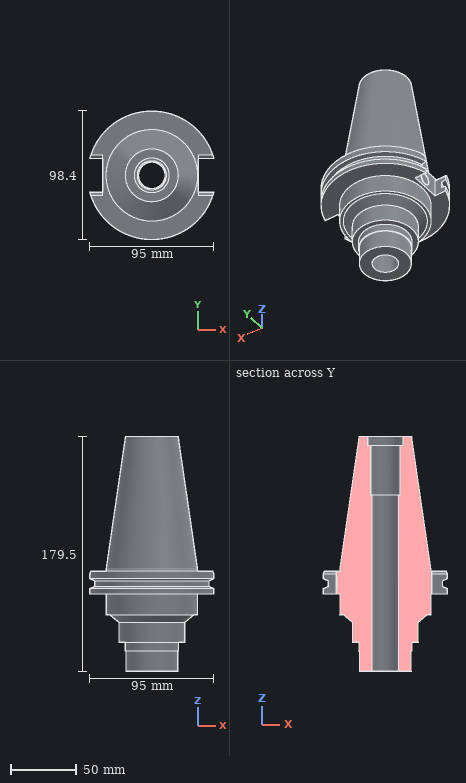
import cadquery as cq

LENGTH = 179.5
FLANGE_RADIUS = 49.2
FLANGE_BOTTOM = 58.9
FLANGE_TOP = 76.5

TAPER_RATE = 7 / 24
TAPER_LARGE_RADIUS = 35.0
TAPER_START = 78.0
TAPER_SMALL_RADIUS = TAPER_LARGE_RADIUS - TAPER_RATE * (LENGTH - TAPER_START) / 2

TIP_RADIUS = 20.0
TIP_TOP = 15.6
COLLAR_RADIUS = 20.5
COLLAR_TOP = 22.0
NECK_RADIUS = 25.3
NECK_TOP = 37.3
NOSE_CONE_RADIUS = 32.1
NOSE_CONE_TOP = 43.0

GROOVE_RADIUS = 45.6
GROOVE_CENTER = 67.0
GROOVE_FLOOR_WIDTH = 4.3
GROOVE_MOUTH_WIDTH = 7.5

SLOT_WIDTH = 25.7
SLOT_FLOOR_LEFT = 37.5
SLOT_FLOOR_RIGHT = 35.5
SLOT_CHAMFER_WIDTH = 2.7
SLOT_CHAMFER_HEIGHT = 2.2
SLOT_RECESS_RADIUS = 4.8
SLOT_RECESS_DEPTH = 0.4

THROUGH_BORE_RADIUS = 10.0
THREAD_BORE_RADIUS = 11.1
THREAD_BORE_DEPTH = 44.9
ENTRY_BORE_RADIUS = 13.3
ENTRY_BORE_DEPTH = 6.8


def cylinder_down(radius, top, height):
    return cq.Workplane("XY").workplane(offset=top).circle(radius).extrude(-height)


def turned_body():
    half_floor = GROOVE_FLOOR_WIDTH / 2
    half_mouth = GROOVE_MOUTH_WIDTH / 2
    profile = [
        (0, 0),
        (TIP_RADIUS, 0),
        (TIP_RADIUS, TIP_TOP),
        (COLLAR_RADIUS, TIP_TOP),
        (COLLAR_RADIUS, COLLAR_TOP),
        (NECK_RADIUS, COLLAR_TOP),
        (NECK_RADIUS, NECK_TOP),
        (NOSE_CONE_RADIUS, NOSE_CONE_TOP),
        (TAPER_LARGE_RADIUS, NOSE_CONE_TOP),
        (TAPER_LARGE_RADIUS, FLANGE_BOTTOM),
        (FLANGE_RADIUS, FLANGE_BOTTOM),
        (FLANGE_RADIUS, GROOVE_CENTER - half_mouth),
        (GROOVE_RADIUS, GROOVE_CENTER - half_floor),
        (GROOVE_RADIUS, GROOVE_CENTER + half_floor),
        (FLANGE_RADIUS, GROOVE_CENTER + half_mouth),
        (FLANGE_RADIUS, FLANGE_TOP),
        (TAPER_LARGE_RADIUS, FLANGE_TOP),
        (TAPER_LARGE_RADIUS, TAPER_START),
        (TAPER_SMALL_RADIUS, LENGTH),
        (0, LENGTH),
    ]
    return cq.Workplane("XZ").polyline(profile).close().revolve(360, (0, 0), (0, 1))


def drive_slot(side, floor):
    """Slot cutter on the +X (side = 1) or -X (side = -1) edge of the flange."""
    half_width = SLOT_WIDTH / 2
    half_mouth = half_width + SLOT_CHAMFER_WIDTH
    chamfer_bottom = FLANGE_TOP - SLOT_CHAMFER_HEIGHT
    section = [
        (-half_width, FLANGE_BOTTOM),
        (half_width, FLANGE_BOTTOM),
        (half_width, chamfer_bottom),
        (half_mouth, FLANGE_TOP),
        (-half_mouth, FLANGE_TOP),
        (-half_width, chamfer_bottom),
    ]
    wall_plane = cq.Workplane("YZ").workplane(offset=side * floor)
    return wall_plane.polyline(section).close().extrude(side * FLANGE_RADIUS)


def slot_recess():
    """Shallow round recess in the floor of the -X slot."""
    wall_plane = cq.Workplane("YZ").workplane(offset=-SLOT_FLOOR_LEFT)
    return wall_plane.center(0, GROOVE_CENTER).circle(SLOT_RECESS_RADIUS).extrude(SLOT_RECESS_DEPTH)


def central_bore():
    through = cylinder_down(THROUGH_BORE_RADIUS, LENGTH, LENGTH)
    thread = cylinder_down(THREAD_BORE_RADIUS, LENGTH, THREAD_BORE_DEPTH)
    entry = cylinder_down(ENTRY_BORE_RADIUS, LENGTH, ENTRY_BORE_DEPTH)
    return through.union(thread).union(entry)


result = (
    turned_body()
    .cut(drive_slot(-1, SLOT_FLOOR_LEFT))
    .cut(drive_slot(1, SLOT_FLOOR_RIGHT))
    .cut(slot_recess())
    .cut(central_bore())
)